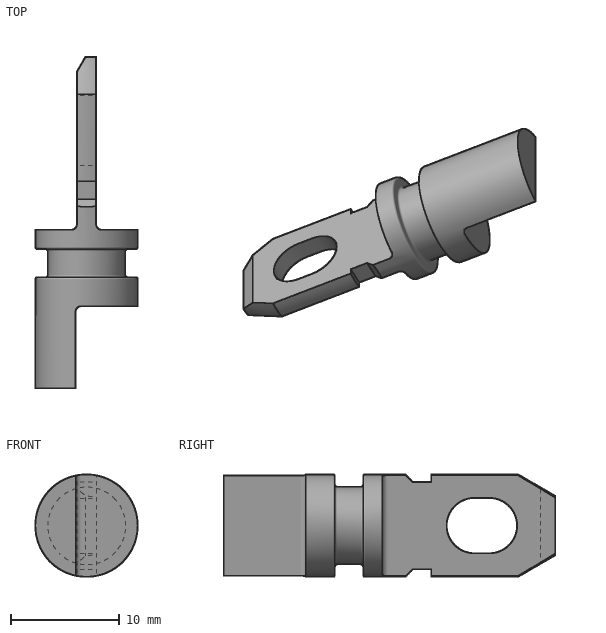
import math

import cadquery as cq

body_diameter = 9.5
body_radius = body_diameter / 2
total_length = 30.7

groove_diameter = 7.2
groove_start = 10.3
groove_width = 2.6
groove_end = groove_start + groove_width
groove_edge_radius = 0.2

flat_x = -1.0
flat_length = 7.6
flat_fillet = 0.5

tongue_thickness = 1.8
tongue_start = 14.7
tongue_fillet = 0.5

tip_diameter = 5.5
tip_angle = math.radians(30)
tip_cone_length = (body_diameter - tip_diameter) / 2 / math.tan(tip_angle)
bevel_depth = 0.8
bevel_length = bevel_depth / math.tan(tip_angle)

hole_length = 6.5
hole_width = 5.1
hole_center_y = total_length - 6.8

notch_depth = 0.7
notch_floor_length = 1.7
notch_rear_y = total_length - 11.5
notch_floor_z = body_radius - notch_depth

clearance = 1.0
cutter_reach = body_radius + clearance


def extrude_through(outline):
    """Close an outline and extrude it both ways, past the body surface."""
    return outline.close().extrude(cutter_reach, both=True)


def make_body():
    """Turned cylinder with a conical rear tip and a ring groove with rounded edges."""
    groove_radius = groove_diameter / 2
    profile = (
        cq.Workplane("XY")
        .moveTo(0, 0)
        .lineTo(body_radius, 0)
        .lineTo(body_radius, groove_start)
        .lineTo(groove_radius, groove_start)
        .lineTo(groove_radius, groove_end)
        .lineTo(body_radius, groove_end)
        .lineTo(body_radius, total_length - tip_cone_length)
        .lineTo(tip_diameter / 2, total_length)
        .lineTo(0, total_length)
        .close()
    )
    body = profile.revolve(360, (0, 0, 0), (0, 1, 0))
    groove_box = cq.selectors.BoxSelector(
        (-cutter_reach, groove_start - groove_edge_radius, -cutter_reach),
        (cutter_reach, groove_end + groove_edge_radius, cutter_reach),
        boundingbox=True,
    )
    return body.edges(groove_box).edges("%CIRCLE").fillet(groove_edge_radius)


def make_front_cutter():
    """Block that leaves the half-round front end, with a rounded inner corner."""
    return extrude_through(
        cq.Workplane("XY")
        .moveTo(flat_x, -clearance)
        .lineTo(flat_x, flat_length - flat_fillet)
        .radiusArc((flat_x + flat_fillet, flat_length), flat_fillet)
        .lineTo(cutter_reach, flat_length)
        .lineTo(cutter_reach, -clearance)
    )


def make_tongue_side_cutter():
    """Block that clears the +X side of the tongue, with a rounded root corner."""
    face_x = tongue_thickness / 2
    rear_y = total_length + clearance
    return extrude_through(
        cq.Workplane("XY")
        .moveTo(face_x, rear_y)
        .lineTo(face_x, tongue_start + tongue_fillet)
        .radiusArc((face_x + tongue_fillet, tongue_start), -tongue_fillet)
        .lineTo(cutter_reach, tongue_start)
        .lineTo(cutter_reach, rear_y)
    )


def make_bevel_cutter():
    """Wedge that bevels the -X face of the tongue tip."""
    face_x = -tongue_thickness / 2
    return extrude_through(
        cq.Workplane("XY")
        .moveTo(face_x, total_length - bevel_length)
        .lineTo(face_x + bevel_depth, total_length)
        .lineTo(face_x, total_length)
    )


def make_notch_cutter():
    """Notch in the upper edge of the tongue, square at the rear and sloped in front."""
    floor_front_y = notch_rear_y - notch_floor_length
    slope_run = cutter_reach - notch_floor_z
    return extrude_through(
        cq.Workplane("YZ")
        .moveTo(notch_rear_y, cutter_reach)
        .lineTo(notch_rear_y, notch_floor_z)
        .lineTo(floor_front_y, notch_floor_z)
        .lineTo(floor_front_y - slope_run, cutter_reach)
    )


def make_hole_cutter():
    """Oblong hole, long along Y, through the tongue thickness."""
    return (
        cq.Workplane("YZ")
        .center(hole_center_y, 0)
        .slot2D(hole_length, hole_width)
        .extrude(cutter_reach, both=True)
    )


result = make_body().cut(make_front_cutter())

side_cutter = make_tongue_side_cutter()
result = result.cut(side_cutter).cut(side_cutter.mirror("YZ"))
result = result.cut(make_bevel_cutter())

notch_cutter = make_notch_cutter()
result = result.cut(notch_cutter).cut(notch_cutter.mirror("XY"))

result = result.cut(make_hole_cutter())